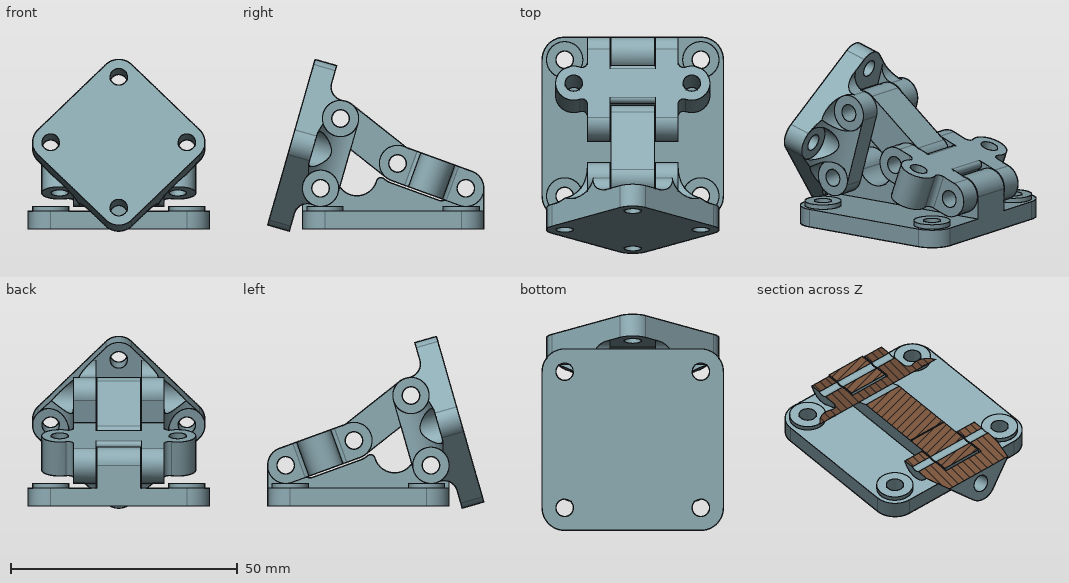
import cadquery as cq
import math


LINK_LENGTH = 16.0
BARREL_R = 4.0
HOLE_R = 3.8 / 2
GAP = 0.5
RELIEF_R = BARREL_R + GAP
EDGE_R = 1.0
FORK_HALF = 10.0
SLOT_HALF = 5.0
TONGUE_HALF = 4.8

BASE_SIZE = 40.0
BASE_THICK = 4.0
BASE_CORNER_R = 5.0
SCREW_OFFSET = 15.0
BOSS_R = 4.0
BOSS_HEIGHT = 1.0

ROCKER_RISE = 20.0
TAB_X = 13.0
TAB_R = 4.0
TAB_FILLET_R = 1.2

PLATE_THICK = 5.0
PLATE_CORNER_R = 4.0
SCREW_FACE_R = 4.0
END_FILLET_R = 3.0
SIDE_FILLET_R = 2 * BARREL_R

AXLE_Y = BASE_SIZE / 2 - BARREL_R
AXLE_Z = BASE_THICK + BOSS_HEIGHT + BARREL_R

MIDDLE_Y = -LINK_LENGTH / 2


def toward(start, end, distance):
    """Point at a distance from start on the line to end."""
    ratio = distance / math.dist(start, end)
    return (start[0] + ratio * (end[0] - start[0]), start[1] + ratio * (end[1] - start[1]))


def arc_middle(center, start, end):
    """Middle of the short arc around center."""
    chord_middle = ((start[0] + end[0]) / 2, (start[1] + end[1]) / 2)
    return toward(center, chord_middle, math.dist(center, start))


def meeting_point(first, second, radius):
    """Crossing of two equal circles on the left of the line from first to second."""
    half = math.dist(first, second) / 2
    height = math.sqrt(radius**2 - half**2)
    middle_y, middle_z = toward(first, second, half)
    unit_y = (second[0] - first[0]) / (2 * half)
    unit_z = (second[1] - first[1]) / (2 * half)
    return (middle_y - height * unit_z, middle_z + height * unit_y)


def rocker_point(along, above):
    """Point (Y, Z) at a distance along the tilted rocker and above its axle line."""
    cosine = math.cos(math.radians(ROCKER_RISE))
    sine = math.sin(math.radians(ROCKER_RISE))
    return (AXLE_Y - along * cosine + above * sine, AXLE_Z + along * sine + above * cosine)


BACK_AXLE = (AXLE_Y, AXLE_Z)
FRONT_AXLE = (-AXLE_Y, AXLE_Z)
ROCKER_AXLE = rocker_point(LINK_LENGTH, 0)
PLATFORM_AXLE = meeting_point(FRONT_AXLE, ROCKER_AXLE, LINK_LENGTH)


def rise_angle(start, end):
    """Angle in degrees by which the line from start to end rises from the -Y direction."""
    return math.degrees(math.atan2(end[1] - start[1], start[0] - end[0]))


def place(body, axle, rise):
    """Move a body built along -Y from the origin onto its axle and tilt it up."""
    tilted = body.rotate((0, 0, 0), (1, 0, 0), -rise)
    return tilted.translate((0, axle[0], axle[1]))


def side_extrude(profile, half_width):
    """Extrude a YZ profile evenly to both sides of the middle plane."""
    return profile.extrude(half_width, both=True)


def axle_cylinder(axle, radius, half_width):
    return side_extrude(cq.Workplane("YZ").center(*axle).circle(radius), half_width)


def both_axles(radius, half_width):
    """Cylinders on the two axles of an unplaced link."""
    first = axle_cylinder((0, 0), radius, half_width)
    return first.union(axle_cylinder((-LINK_LENGTH, 0), radius, half_width))


def link_bar(half_width):
    """Round-ended bar between the two axles."""
    profile = cq.Workplane("YZ").center(MIDDLE_Y, 0)
    profile = profile.slot2D(LINK_LENGTH + 2 * BARREL_R, 2 * BARREL_R)
    return side_extrude(profile, half_width)


EDGE_ABOVE = BARREL_R - EDGE_R
EDGE_ALONG = math.sqrt((RELIEF_R + EDGE_R) ** 2 - EDGE_ABOVE**2)


def neck_edge(direction, sign):
    """Rounded neck edge from its flat end to the clearance bore, as three arc points.

    The direction is 1 at the first axle and -1 at the second one, the sign 1 for the upper edge
    and -1 for the lower one.
    """
    axle = (MIDDLE_Y * (1 - direction), 0)
    center = (axle[0] - direction * EDGE_ALONG, sign * EDGE_ABOVE)
    flat_end = (center[0], sign * BARREL_R)
    bore_end = toward(axle, center, RELIEF_R)
    return flat_end, arc_middle(center, flat_end, bore_end), bore_end


def neck():
    """Web across the fork, hollowed around both axles and with rounded edges."""
    near_top, near_top_middle, near_top_bore = neck_edge(1, 1)
    near_low, near_low_middle, near_low_bore = neck_edge(1, -1)
    far_top, far_top_middle, far_top_bore = neck_edge(-1, 1)
    far_low, far_low_middle, far_low_bore = neck_edge(-1, -1)
    profile = (
        cq.Workplane("YZ")
        .moveTo(*near_top)
        .threePointArc(near_top_middle, near_top_bore)
        .threePointArc((-RELIEF_R, 0), near_low_bore)
        .threePointArc(near_low_middle, near_low)
        .lineTo(*far_low)
        .threePointArc(far_low_middle, far_low_bore)
        .threePointArc((RELIEF_R - LINK_LENGTH, 0), far_top_bore)
        .threePointArc(far_top_middle, far_top)
        .close()
    )
    return side_extrude(profile, SLOT_HALF)



def base_web():
    """Central web with a knuckle at each end, shaped to clear the resting rocker and coupler."""
    pocket_r = EDGE_R + GAP
    pocket = rocker_point(EDGE_ALONG, -EDGE_ABOVE)
    pocket_start = toward(BACK_AXLE, pocket, BARREL_R)
    pocket_end = rocker_point(EDGE_ALONG, -RELIEF_R)
    rest_end = rocker_point(LINK_LENGTH, -RELIEF_R)

    hollow_y = FRONT_AXLE[0] / 2
    hollow_rise = math.sqrt((BARREL_R + RELIEF_R) ** 2 - (hollow_y - FRONT_AXLE[0]) ** 2)
    hollow = (hollow_y, AXLE_Z + hollow_rise)
    hollow_end = toward(FRONT_AXLE, hollow, BARREL_R)
    crest = meeting_point(ROCKER_AXLE, hollow, RELIEF_R + EDGE_R)
    crest_start = toward(ROCKER_AXLE, crest, RELIEF_R)
    crest_end = toward(hollow, crest, RELIEF_R)

    half = BASE_SIZE / 2
    profile = (
        cq.Workplane("YZ")
        .moveTo(half, BASE_THICK)
        .lineTo(half, AXLE_Z)
        .threePointArc((AXLE_Y, AXLE_Z + BARREL_R), pocket_start)
        .threePointArc(arc_middle(pocket, pocket_start, pocket_end), pocket_end)
        .lineTo(*rest_end)
        .threePointArc(arc_middle(ROCKER_AXLE, rest_end, crest_start), crest_start)
        .threePointArc(arc_middle(crest, crest_start, crest_end), crest_end)
        .threePointArc(arc_middle(hollow, crest_end, hollow_end), hollow_end)
        .threePointArc((-AXLE_Y, AXLE_Z + BARREL_R), (-half, AXLE_Z))
        .lineTo(-half, BASE_THICK)
        .close()
    )
    return side_extrude(profile, TONGUE_HALF)


def make_base():
    plate = cq.Workplane("XY").rect(BASE_SIZE, BASE_SIZE).extrude(BASE_THICK)
    plate = plate.edges("|Z").fillet(BASE_CORNER_R)
    screws = cq.Workplane("XY").rect(2 * SCREW_OFFSET, 2 * SCREW_OFFSET, forConstruction=True).vertices()
    boss_top = BASE_THICK + BOSS_HEIGHT
    body = plate.union(screws.circle(BOSS_R).extrude(boss_top))
    body = body.cut(screws.circle(HOLE_R).extrude(boss_top))
    body = body.union(base_web())
    for axle in (BACK_AXLE, FRONT_AXLE):
        body = body.cut(axle_cylinder(axle, HOLE_R, FORK_HALF))
    return body



def rocker_tab(side):
    """Side tab blended into the fork cheek by a concave fillet on each flank."""
    tab = (side * TAB_X, MIDDLE_Y)
    fillet_x = FORK_HALF + TAB_FILLET_R
    reach = math.sqrt((TAB_R + TAB_FILLET_R) ** 2 - (TAB_X - fillet_x) ** 2)
    near = (side * fillet_x, tab[1] + reach)
    far = (side * fillet_x, tab[1] - reach)
    near_cheek = (side * FORK_HALF, near[1])
    far_cheek = (side * FORK_HALF, far[1])
    near_tab = toward(tab, near, TAB_R)
    far_tab = toward(tab, far, TAB_R)
    profile = (
        cq.Workplane("XY")
        .moveTo(side * SLOT_HALF, near[1])
        .lineTo(*near_cheek)
        .threePointArc(arc_middle(near, near_cheek, near_tab), near_tab)
        .threePointArc((side * (TAB_X + TAB_R), tab[1]), far_tab)
        .threePointArc(arc_middle(far, far_tab, far_cheek), far_cheek)
        .lineTo(side * SLOT_HALF, far[1])
        .close()
    )
    hole = cq.Workplane("XY").center(*tab).circle(HOLE_R)
    return profile.extrude(BARREL_R, both=True).cut(hole.extrude(BARREL_R, both=True))


def make_rocker():
    body = link_bar(FORK_HALF).cut(link_bar(SLOT_HALF)).union(neck())
    for side in (-1, 1):
        body = body.union(rocker_tab(side))
    body = body.cut(both_axles(HOLE_R, FORK_HALF))
    return place(body, BACK_AXLE, ROCKER_RISE)



def make_coupler():
    body = link_bar(TONGUE_HALF).cut(both_axles(HOLE_R, TONGUE_HALF))
    return place(body, ROCKER_AXLE, rise_angle(ROCKER_AXLE, PLATFORM_AXLE))



PLATE_BOTTOM = -BARREL_R - PLATE_THICK


def platform_outline():
    """Square with rounded corners, standing on one corner, as tall as plate and fork."""
    side = SCREW_OFFSET * math.sqrt(2) + 2 * PLATE_CORNER_R
    block = cq.Workplane("XY").rect(side, side).extrude(PLATE_THICK + 2 * BARREL_R)
    block = block.edges("|Z").fillet(PLATE_CORNER_R).rotate((0, 0, 0), (0, 0, 1), 45)
    return block.translate((0, MIDDLE_Y, PLATE_BOTTOM))


def platform_profile():
    """Plate with the fork body on top, filleted between the knuckles and the plate."""
    fillet_z = END_FILLET_R - BARREL_R
    reach = math.sqrt((BARREL_R + END_FILLET_R) ** 2 - fillet_z**2)
    near = (reach, fillet_z)
    far = (-LINK_LENGTH - reach, fillet_z)
    near_barrel = toward((0, 0), near, BARREL_R)
    far_barrel = toward((-LINK_LENGTH, 0), far, BARREL_R)
    near_plate = (near[0], -BARREL_R)
    far_plate = (far[0], -BARREL_R)
    near_end = MIDDLE_Y + BASE_SIZE / 2
    far_end = MIDDLE_Y - BASE_SIZE / 2
    slope = BARREL_R / math.sqrt(2)
    profile = (
        cq.Workplane("YZ")
        .moveTo(near_end, PLATE_BOTTOM)
        .lineTo(near_end, -BARREL_R)
        .lineTo(*near_plate)
        .threePointArc(arc_middle(near, near_plate, near_barrel), near_barrel)
        .threePointArc((slope, slope), (0, BARREL_R))
        .lineTo(-LINK_LENGTH, BARREL_R)
        .threePointArc((-LINK_LENGTH - slope, slope), far_barrel)
        .threePointArc(arc_middle(far, far_barrel, far_plate), far_plate)
        .lineTo(far_end, -BARREL_R)
        .lineTo(far_end, PLATE_BOTTOM)
        .close()
    )
    return side_extrude(profile, BASE_SIZE / 2)


def beside_fork(side):
    """Space to clear beside one cheek: side fillet, screw head room and axle ends."""
    fillet_x = FORK_HALF + SIDE_FILLET_R
    outside = BASE_SIZE / 2
    height = 2 * BARREL_R
    sweep = SIDE_FILLET_R / math.sqrt(2)
    profile = (
        cq.Workplane("XZ")
        .moveTo(side * FORK_HALF, BARREL_R)
        .threePointArc((side * (fillet_x - sweep), BARREL_R - sweep), (side * fillet_x, -BARREL_R))
        .lineTo(side * outside, -BARREL_R)
        .lineTo(side * outside, BARREL_R)
        .close()
    )
    space = profile.extrude(BASE_SIZE, both=True)
    screw = cq.Workplane("XY", origin=(side * SCREW_OFFSET, MIDDLE_Y, -BARREL_R))
    space = space.union(screw.circle(SCREW_FACE_R).extrude(height))
    cheek = cq.Workplane("YZ", origin=(side * FORK_HALF, 0, 0))
    axle_ends = cheek.pushPoints([(0, 0), (-LINK_LENGTH, 0)]).circle(BARREL_R)
    return space.union(axle_ends.extrude(side * (outside - FORK_HALF)))


def platform_slot():
    """Slot through the whole fork down to the plate, with clearance bores around both axles."""
    slot = cq.Workplane("XY").box(2 * SLOT_HALF, BASE_SIZE, 2 * BARREL_R).translate((0, MIDDLE_Y, 0))
    return slot.union(both_axles(RELIEF_R, SLOT_HALF))


def make_platform():
    body = platform_outline().intersect(platform_profile())
    body = body.cut(platform_slot())
    for side in (-1, 1):
        body = body.cut(beside_fork(side))
    knuckles = both_axles(BARREL_R, FORK_HALF).cut(both_axles(BARREL_R, SLOT_HALF))
    body = body.union(knuckles)
    body = body.cut(both_axles(HOLE_R, FORK_HALF))
    screws = cq.Workplane("XY", origin=(0, MIDDLE_Y, PLATE_BOTTOM)).polarArray(SCREW_OFFSET, 0, 360, 4)
    body = body.cut(screws.circle(HOLE_R).extrude(PLATE_THICK))
    return place(body, FRONT_AXLE, rise_angle(FRONT_AXLE, PLATFORM_AXLE))


base = make_base()
rocker = make_rocker()
coupler = make_coupler()
platform = make_platform()

result = cq.Compound.makeCompound([body.solids().val() for body in (base, rocker, coupler, platform)])